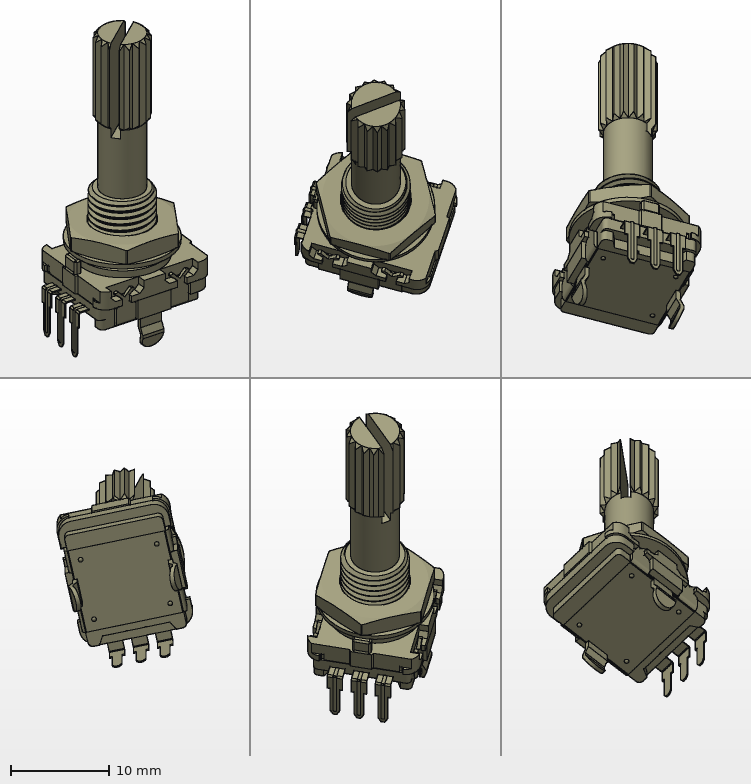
import cadquery as cq
import math


shaft_diameter = 5.0
shaft_top_z = 25.0
knurl_diameter = 6.0
knurl_length = 10.0
knurl_teeth = 18
knurl_chamfer = (knurl_diameter - shaft_diameter) / 2
slot_width = 1.0
slot_depth = 11.0
slot_angle = -50.0

bushing_length = 7.0
thread_crest_radius = 3.5
thread_root_radius = 3.15
thread_pitch = 0.75
thread_crest_flat = 0.08
thread_root_flat = 0.1
thread_start_angle = 96.0
thread_embed = 0.1
bushing_top_radius = 3.05
flange_diameter = 10.0
flange_thickness = 0.8

clearance_diameter = 7.2
washer_diameter = 12.0
washer_thickness = 0.5
washer_z = 0.8
nut_width = 11.0
nut_thickness = 2.0
nut_corner_bevel = 0.08
nut_chamfer_height = 0.22
nut_face_diameter = 10.9

cover_top_z = -flange_thickness
cover_bottom_z = -2.9
cover_half_x = 5.85
cover_front_y = -6.57
cover_back_y = 7.22
cover_corner_radius = 1.5
cover_front_wall_y = -6.3
cover_back_wall_y = 6.92
lip_top_z = -2.15
lip_inner_x = cover_half_x - cover_corner_radius
notch_inner_x = 3.93
notch_outer_x = 4.2
notch_depth = 0.15
front_pad_half = 1.1
back_pad_half = 1.9
pad_slope = 0.15
key_half = 0.98
key_front_y = -6.46
key_back_y = -5.6
key_top_z = 0.78
key_bevel = 0.2
pocket_inner_x = 4.87
pocket_y = (1.3, 5.32)
pocket_bevel = 0.52

sheet = 0.4
frame_inner_x = 5.04
frame_outer_x = frame_inner_x + sheet
frame_bottom_z = -5.55
frame_plate_half_x = 5.0
tab_y = (2.03, 4.42)
tab_shoulder = 0.45
tab_bend_radius = 0.55
neck_y = (2.83, 3.95)
prong_reach = 1.14
prong_root = 0.8
prong_rise = 0.44
prong_shoulder = 0.62
prong_top = 0.72
crotch_drop = 0.08
dimple_diameter = 0.5
dimple_height = 0.18
dimple_x = 3.96
leg_width = 2.6
leg_thickness = 0.46
leg_tip_z = -9.2
leg_center_x = 4.98
leg_knee_x = 5.4
leg_tip_x = 4.92
leg_root_x = 4.9
leg_root_end_z = -5.8
leg_straight_end_z = -6.62
leg_knee_z = (-7.36, -7.73)

base_half_x = 5.1
base_back_y = 7.07
base_back_half_x = 5.7
base_back_start_y = 4.49
base_front_y = -6.37
base_step_z = -4.34
base_foot_half_y = 6.05
base_back_radius = 1.5
base_edge_radius = 0.5
lug_half_y = tab_y[0]
front_recess_half = 4.0
front_recess_floor_half = 3.5
front_recess_depth = 0.9
hole_size = 0.25
hole_x = 0.97
hole_z = -5.27

pin_pitch = 2.5
pin_thickness = 0.15
pin_bend_bevel = 0.18
pin_front_y = -7.63
pin_top_z = -3.71
pin_shoulder_width = 1.6
pin_width = 1.0
pin_tip_width = 0.4
pin_taper_z = -8.66
pin_tip_z = -9.2
pin_embed = 1.0
rib_diameter = 0.5
rib_height = 0.08
rib_end_z = -8.6

BOTH_SIDES = (-1, 1)


def block(x_range, y_range, z_range):
    """Axis-aligned block between three pairs of limits, given in either order."""
    spans = [sorted(limits) for limits in (x_range, y_range, z_range)]
    size = [high - low for low, high in spans]
    corner = tuple(low for low, _ in spans)
    return cq.Workplane("XY").box(*size, centered=False).translate(corner)


def prism_along_x(points_yz, x_range):
    """Prism with its outline in the YZ plane."""
    low, high = sorted(x_range)
    return cq.Workplane("YZ", origin=(low, 0, 0)).polyline(points_yz).close().extrude(high - low)


def prism_along_z(points_xy, z_range):
    """Prism with its outline in the XY plane."""
    low, high = sorted(z_range)
    return cq.Workplane("XY", origin=(0, 0, low)).polyline(points_xy).close().extrude(high - low)


def disc(diameter, z_low, height):
    return cq.Workplane("XY", origin=(0, 0, z_low)).circle(diameter / 2).extrude(height)


def turned(points_rz):
    """Solid of revolution about Z from (radius, z) points."""
    return cq.Workplane("XZ").polyline(points_rz).close().revolve(360, (0, 0, 0), (0, 1, 0))


def make_shaft():
    """Plain shaft with an 18-tooth serrated head split by one slot."""
    knurl_z = shaft_top_z - knurl_length
    root = shaft_diameter / 2
    crest = knurl_diameter / 2
    star = []
    for step in range(2 * knurl_teeth):
        radius = root if step % 2 else crest
        angle = math.pi * step / knurl_teeth
        star.append((radius * math.cos(angle), radius * math.sin(angle)))
    knurl = prism_along_z(star, (knurl_z, shaft_top_z))
    envelope = turned([
        (0, knurl_z),
        (root, knurl_z),
        (crest, knurl_z + knurl_chamfer),
        (crest, shaft_top_z - knurl_chamfer),
        (root, shaft_top_z),
        (0, shaft_top_z),
    ])
    stem = disc(shaft_diameter, cover_bottom_z, knurl_z - cover_bottom_z)
    slot = block(
        (-knurl_diameter, knurl_diameter),
        (-slot_width / 2, slot_width / 2),
        (shaft_top_z - slot_depth, shaft_top_z),
    ).rotate((0, 0, 0), (0, 0, 1), slot_angle)
    return stem.union(knurl.intersect(envelope)).cut(slot)


def make_thread():
    """Threaded barrel: chamfered cylinder with a helical groove cut around it."""
    barrel = turned([
        (0, -thread_embed),
        (thread_crest_radius, -thread_embed),
        (thread_crest_radius, bushing_length - thread_crest_radius + bushing_top_radius),
        (bushing_top_radius, bushing_length),
        (0, bushing_length),
    ])
    helix = cq.Wire.makeHelix(thread_pitch, bushing_length + 2 * thread_pitch, thread_root_radius)
    root_half = thread_root_flat / 2
    mouth_half = (thread_pitch - thread_crest_flat) / 2
    outside = thread_crest_radius + thread_embed
    groove = (
        cq.Workplane("XZ")
        .polyline([
            (thread_root_radius, -root_half),
            (thread_crest_radius, -mouth_half),
            (outside, -mouth_half),
            (outside, mouth_half),
            (thread_crest_radius, mouth_half),
            (thread_root_radius, root_half),
        ])
        .close()
        .sweep(cq.Workplane(obj=helix), isFrenet=True)
        .rotate((0, 0, 0), (0, 0, 1), thread_start_angle)
        .translate((0, 0, -thread_pitch))
    )
    return barrel.cut(groove)


def cover_pad(half_width, y_wall, y_face):
    """Raised pad on a cover end wall, with sloped flanks."""
    outline = [
        (-half_width - pad_slope, y_wall),
        (half_width + pad_slope, y_wall),
        (half_width, y_face),
        (-half_width, y_face),
    ]
    return prism_along_z(outline, (cover_bottom_z, cover_top_z))


def cover_block():
    """Cover block: set-back end walls, low corner lips, end pads and the anti-rotation key."""
    cover_z = (cover_bottom_z, cover_top_z)
    full = block((-cover_half_x, cover_half_x), (cover_front_y, cover_back_y), cover_z)
    full = full.edges("|Z").fillet(cover_corner_radius)
    walls = block((-cover_half_x, cover_half_x), (cover_front_wall_y, cover_back_wall_y), cover_z)
    cover = full.intersect(walls)
    for side in BOTH_SIDES:
        lip_x = (side * lip_inner_x, side * cover_half_x)
        lip = block(lip_x, (cover_front_y, cover_back_y), (cover_bottom_z, lip_top_z))
        cover = cover.union(full.intersect(lip))
    cover = cover.union(cover_pad(front_pad_half, cover_front_wall_y, cover_front_y))
    cover = cover.union(cover_pad(back_pad_half, cover_back_wall_y, cover_back_y))
    for side in BOTH_SIDES:
        notch_x = (side * notch_inner_x, side * notch_outer_x)
        notch_y = (cover_front_wall_y, cover_front_wall_y + notch_depth)
        cover = cover.cut(block(notch_x, notch_y, (cover_bottom_z, lip_top_z)))
    key = block((-key_half, key_half), (key_back_y, key_front_y), (cover_bottom_z, key_top_z))
    cover = cover.union(key.edges("|Z or >Z").chamfer(key_bevel))
    key_foot = [
        (key_front_y, cover_top_z + key_bevel),
        (cover_front_y, cover_top_z),
        (key_front_y, cover_top_z),
    ]
    foot_half = key_half - key_bevel
    return cover.union(prism_along_x(key_foot, (-foot_half, foot_half)))


def tab_pocket(side_x, side_y):
    """Pocket in the cover's side that takes a tab head, with the slot for the tab's neck."""
    y_low, y_high = pocket_y
    outline = [
        (y_low, cover_top_z),
        (y_low, lip_top_z + pocket_bevel),
        (y_low + pocket_bevel, lip_top_z),
        (y_high - pocket_bevel, lip_top_z),
        (y_high, lip_top_z + pocket_bevel),
        (y_high, cover_top_z),
    ]
    outline = [(side_y * y, z) for y, z in outline]
    pocket = prism_along_x(outline, (side_x * pocket_inner_x, side_x * cover_half_x))
    neck_range = [side_y * y for y in neck_y]
    neck_x = (side_x * frame_inner_x, side_x * cover_half_x)
    return pocket.union(block(neck_x, neck_range, (cover_bottom_z, lip_top_z)))


def make_bushing_cover():
    """Die casting: cover block, round flange and threaded bushing, bored for the shaft."""
    cover = cover_block()
    for side_x in BOTH_SIDES:
        for side_y in BOTH_SIDES:
            cover = cover.cut(tab_pocket(side_x, side_y))
    casting = cover.union(disc(flange_diameter, cover_top_z, flange_thickness)).union(make_thread())
    return casting.cut(disc(shaft_diameter, cover_bottom_z, bushing_length - cover_bottom_z))


def make_washer():
    washer = disc(washer_diameter, washer_z, washer_thickness)
    return washer.cut(disc(clearance_diameter, washer_z, washer_thickness))


def make_nut():
    """Hexagon nut with corners on the Y axis and conical chamfers on both faces."""
    corner_radius = nut_width / math.sqrt(3)
    face_radius = nut_face_diameter / 2
    bottom = washer_z + washer_thickness
    top = bottom + nut_thickness
    hexagon = cq.Workplane("XY", origin=(0, 0, bottom)).polygon(6, 2 * corner_radius)
    hexagon = hexagon.extrude(nut_thickness).edges("|Z").chamfer(nut_corner_bevel)
    hexagon = hexagon.rotate((0, 0, 0), (0, 0, 1), 90)
    cone = turned([
        (0, bottom),
        (face_radius, bottom),
        (corner_radius, bottom + nut_chamfer_height),
        (corner_radius, top - nut_chamfer_height),
        (face_radius, top),
        (0, top),
    ])
    return hexagon.intersect(cone).cut(disc(clearance_diameter, bottom, nut_thickness))


def frame_tab(side_x, side_y):
    """Upright tab: wide stem, narrow neck and a swaged two-prong head."""
    y_low, y_high = tab_y
    shoulder_z = cover_bottom_z - tab_shoulder
    stem = [
        (y_low, frame_bottom_z),
        (y_low, shoulder_z),
        (y_low + tab_shoulder, cover_bottom_z),
        (y_high - tab_shoulder, cover_bottom_z),
        (y_high, shoulder_z),
        (y_high, frame_bottom_z),
    ]
    neck_middle = sum(neck_y) / 2
    half_neck = (neck_y[1] - neck_y[0]) / 2
    head = [
        (-half_neck, cover_bottom_z),
        (-half_neck, lip_top_z),
        (-prong_reach, lip_top_z + prong_rise),
        (-prong_reach, lip_top_z + prong_shoulder),
        (-prong_root, lip_top_z + prong_top),
        (0, lip_top_z - crotch_drop),
        (prong_root, lip_top_z + prong_top),
        (prong_reach, lip_top_z + prong_shoulder),
        (prong_reach, lip_top_z + prong_rise),
        (half_neck, lip_top_z),
        (half_neck, cover_bottom_z),
    ]
    x_range = (side_x * frame_inner_x, side_x * frame_outer_x)
    tab = prism_along_x([(side_y * y, z) for y, z in stem], x_range)
    foot_x = (side_x * (frame_inner_x - sheet), side_x * frame_outer_x)
    foot_z = (frame_bottom_z, frame_bottom_z + sheet)
    tab = tab.union(block(foot_x, [side_y * y for y in tab_y], foot_z))
    outer_face = ">X" if side_x > 0 else "<X"
    tab = tab.faces(outer_face).edges("<Z").fillet(tab_bend_radius)
    return tab.union(prism_along_x([(side_y * (y + neck_middle), z) for y, z in head], x_range))


def frame_leg(side_x):
    """Snap-in leg: kinked strip with a round end."""
    half = leg_thickness / 2
    center_line = [
        (leg_root_x, frame_bottom_z + sheet),
        (leg_center_x, leg_root_end_z),
        (leg_center_x, leg_straight_end_z),
        (leg_knee_x, leg_knee_z[0]),
        (leg_knee_x, leg_knee_z[1]),
        (leg_tip_x, leg_tip_z),
    ]
    outer = [(side_x * (x + half), z) for x, z in center_line]
    inner = [(side_x * (x - half), z) for x, z in reversed(center_line)]
    strip = cq.Workplane("XZ").polyline(outer + inner).close().extrude(leg_width / 2, both=True)
    round_radius = leg_width / 2
    round_z = leg_tip_z + round_radius
    face = (
        cq.Workplane("YZ")
        .moveTo(-round_radius, frame_bottom_z + sheet)
        .lineTo(-round_radius, round_z)
        .threePointArc((0, leg_tip_z), (round_radius, round_z))
        .lineTo(round_radius, frame_bottom_z + sheet)
        .close()
        .extrude(2 * cover_half_x, both=True)
    )
    return strip.intersect(face)


def frame_plate():
    """Flat plate under the base."""
    return block(
        (-frame_plate_half_x, frame_plate_half_x),
        (-tab_y[1], tab_y[1]),
        (frame_bottom_z, frame_bottom_z + sheet),
    )


def make_frame():
    """Sheet-metal frame: bottom plate, four clinching tabs, two legs and four dimples."""
    frame = frame_plate()
    dimple_y = sum(tab_y) / 2
    ball_drop = dimple_diameter / 2 - dimple_height
    for side_x in BOTH_SIDES:
        frame = frame.union(frame_leg(side_x))
        for side_y in BOTH_SIDES:
            frame = frame.union(frame_tab(side_x, side_y))
            dimple = cq.Workplane("XY").sphere(dimple_diameter / 2)
            dimple = dimple.translate((side_x * dimple_x, side_y * dimple_y, frame_bottom_z + ball_drop))
            frame = frame.union(dimple)
    return frame


def base_lug(side_x):
    """Side lug between two tabs, under the middle of the cover's side."""
    x_range = (side_x * (base_half_x - sheet), side_x * cover_half_x)
    return block(x_range, (-lug_half_y, lug_half_y), (frame_bottom_z + sheet, cover_bottom_z))


def make_base():
    """Molded base: stepped block with a wide back end, side lugs, front recess and two small holes."""
    width = (-base_half_x, base_half_x)
    upper_z = (base_step_z, cover_bottom_z)
    body = block(width, (base_front_y, base_back_start_y), upper_z)
    body = body.edges("|Z and <Y").fillet(base_edge_radius)
    back = block((-base_back_half_x, base_back_half_x), (base_back_start_y, base_back_y), upper_z)
    body = body.union(back.edges("|Z and >Y").fillet(base_back_radius))
    foot = block(width, (-base_foot_half_y, base_foot_half_y), (frame_bottom_z, base_step_z))
    body = body.union(foot.edges("|Z").fillet(base_edge_radius))
    for side in BOTH_SIDES:
        body = body.union(base_lug(side))
    recess_floor_y = -base_foot_half_y + front_recess_depth
    recess = [
        (-front_recess_half, -base_foot_half_y),
        (front_recess_half, -base_foot_half_y),
        (front_recess_floor_half, recess_floor_y),
        (-front_recess_floor_half, recess_floor_y),
    ]
    body = body.cut(prism_along_z(recess, (frame_bottom_z, base_step_z)))
    for side in BOTH_SIDES:
        hole = block(
            (side * hole_x - hole_size / 2, side * hole_x + hole_size / 2),
            (recess_floor_y, recess_floor_y + hole_size),
            (hole_z - hole_size / 2, hole_z + hole_size / 2),
        )
        body = body.cut(hole)
    return body


def pin_bend(front_y, top_z, width):
    """Right-angled strip: level run out of the base, then straight down."""
    inner_y = base_front_y + pin_embed
    back_y = pin_front_y + pin_thickness
    under_z = pin_top_z - pin_thickness
    inner_bevel = pin_bend_bevel / 2
    outline = [
        (inner_y, top_z),
        (front_y + pin_bend_bevel, top_z),
        (front_y, top_z - pin_bend_bevel),
        (front_y, pin_tip_z),
        (back_y, pin_tip_z),
        (back_y, under_z - inner_bevel),
        (back_y + inner_bevel, under_z),
        (inner_y, under_z),
    ]
    return prism_along_x(outline, (-width / 2, width / 2))


def make_pin(x):
    """Terminal pin with a wide shoulder, tapered tip and a rounded stiffening rib."""
    half_shoulder = pin_shoulder_width / 2
    half = pin_width / 2
    half_tip = pin_tip_width / 2
    right_edge = [
        (half_shoulder, pin_top_z),
        (half_shoulder, frame_bottom_z),
        (half, frame_bottom_z),
        (half, pin_taper_z),
        (half_tip, pin_tip_z),
    ]
    left_edge = [(-px, pz) for px, pz in reversed(right_edge)]
    face = cq.Workplane("XZ").polyline(right_edge + left_edge).close()
    face = face.extrude(2 * abs(pin_front_y), both=True)
    strip = pin_bend(pin_front_y, pin_top_z, pin_shoulder_width).intersect(face)

    radius = rib_diameter / 2
    rib_y = pin_front_y - rib_height + radius
    rib_z = pin_top_z + rib_height - radius
    upright = cq.Workplane("XY", origin=(0, rib_y, rib_end_z)).circle(radius).extrude(rib_z - rib_end_z)
    level = cq.Workplane("XZ", origin=(0, base_front_y, rib_z)).circle(radius).extrude(base_front_y - rib_y)
    ball = cq.Workplane("XY").sphere(radius)
    rod = upright.union(level)
    for ball_z in (rib_z, rib_end_z):
        rod = rod.union(ball.translate((0, rib_y, ball_z)))
    limits = pin_bend(pin_front_y - rib_height, pin_top_z + rib_height, pin_width)
    return strip.union(rod.intersect(limits)).translate((x, 0, 0))


shaft = make_shaft()
bushing_cover = make_bushing_cover()
washer = make_washer()
nut = make_nut()
frame = make_frame()
pins = [make_pin(index * pin_pitch) for index in (-1, 0, 1)]

base = make_base().cut(frame)
for pin in pins:
    base = base.cut(pin)

result = cq.Compound.makeCompound([
    shaft.solids().val(),
    bushing_cover.solids().val(),
    washer.solids().val(),
    nut.solids().val(),
    frame.solids().val(),
    base.solids().val(),
    *[pin.solids().val() for pin in pins],
])